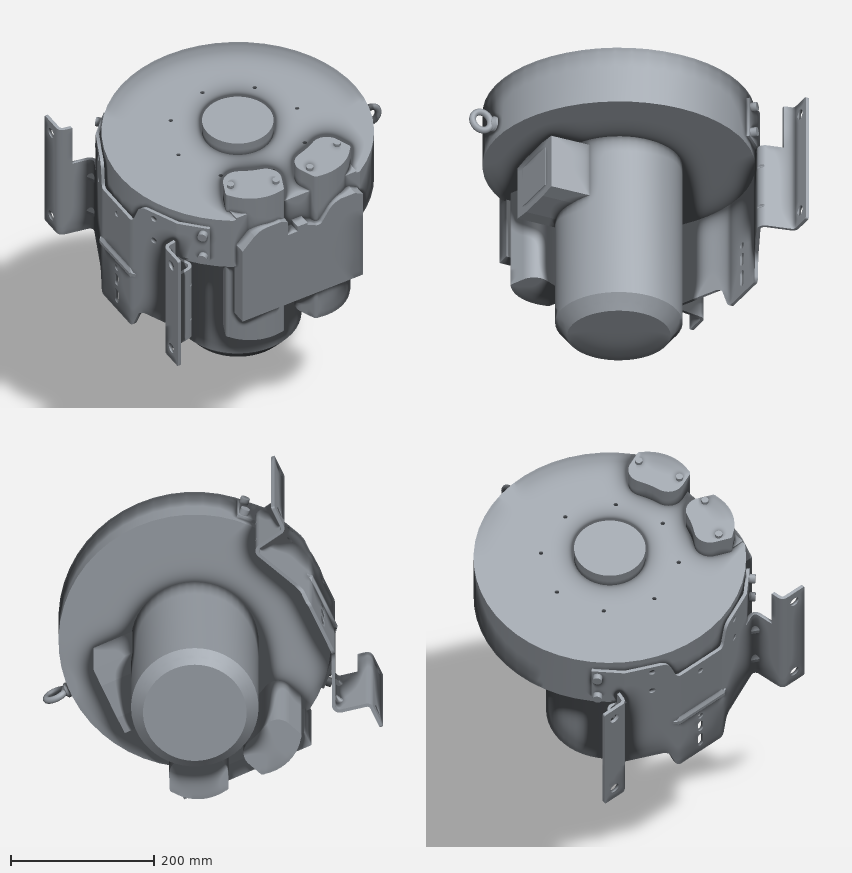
import cadquery as cq
import math


HOUSING_RADIUS = 190.0
HOUSING_HEIGHT = 85.5
FLAT_X = 160.0
HUB_RADIUS = 50.0
HUB_HEIGHT = 21.0
COVER_HOLE_COUNT = 8
COVER_HOLE_CIRCLE = 96.5
COVER_HOLE_DIAMETER = 6.0
COVER_HOLE_DEPTH = 6.5
MOTOR_RADIUS = 89.0
MOTOR_END_RADIUS = 72.2
MOTOR_CONE_Z = -332.8
MOTOR_BOTTOM_Z = -353.5

BOX_HALF_WIDTH = 52.5
BOX_BACK_Y = 131.5
BOX_TOP_Z = -91.0
BOX_BOTTOM_Z = -176.5
BOX_SLOPE_WIDTH = 26.3
BOX_SLOPE_HEIGHT = 2.5
LID_THICKNESS = 1.5
LID_WIDTH = 70.0
LID_HEIGHT = 59.5

SILENCER_ANGLE = 22.5
SILENCER_TOP_Z = 30.5
SILENCER_BOTTOM_Z = -230.7
SILENCER_HALF_WIDTH = 41.0
SILENCER_INNER_RADIUS = 119.5
SILENCER_OUTER_RADIUS = 179.0
LOBE_RADIUS = 22.5
LOBE_CENTER_X = 140.5
STRAIGHT_END_X = 162.5
CORNER_X = 167.5
CORNER_HALF_WIDTH = 36.8
CORNER_MID_X = 166.0
CORNER_MID_HALF_WIDTH = 40.0
PIN_CIRCLE = 152.5
PIN_SPREAD = 12.1
PIN_DIAMETER = 10.0
PIN_TOP_Z = 35.5

PORT_FACE_X = 177.0
PORT_HALF_SPAN = 97.5
PORT_MID_Z = -110.0
PORT_TOP = 90.5
PORT_WEB = 70.0
PORT_STEP = 61.5
PORT_DEPTH = 65.5
PORT_EMBED = 4.5
PAD_INNER_X = 141.0
PAD_INNER_Y = 44.0
PAD_RISE = 2.5

SHEET = 5.0
BRACKET_TOP_Z = -14.0
BRACKET_BOTTOM_Z = -207.0
TONGUE_DROP = 33.3
TONGUE_CORNER_X = 41.5
WING_CORNER_X = 53.0
TONGUE_CORNER_RADIUS = 8.8
WING_CORNER_RADIUS = 13.0
FOOT_CORNER_RADIUS = 2.5
FRONT_BEND = (40.0, -196.5)
TAB_BEND_X = 111.0
TAB_END = (144.0, -132.0)
LEG_BEND = (132.2, -155.0)
FOOT_BEND = (142.0, -205.5)
FOOT_END = (181.5, -205.5)
WING_SLOPE = (LEG_BEND[1] - FRONT_BEND[1]) / (LEG_BEND[0] - FRONT_BEND[0])
FRONT_BEND_RADIUS = 22.0
LEG_BEND_RADIUS = 6.0
FOOT_BEND_RADIUS = 9.5
TAB_BEND_RADIUS = 13.0
TAB_BOTTOM_Z = -74.5
RELIEF_BOTTOM_Z = -79.5
RELIEF_X = 108.0
TAB_FLAP = 13.0
TAB_LAP = 4.5
RELIEF_Y = -186.0

DRILL_START_Y = -190.5
FOOT_HOLE_X = 163.8
FOOT_HOLE_DIAMETER = 15.0
FOOT_HOLE_Z = (-33.5, -186.0)
SCREW_Z = (-25.0, -65.0)
SCREW_HOLE_DIAMETER = 9.5
WING_HOLE_X = 75.0
TONGUE_HOLE_Z = (-65.0, -164.0)
TONGUE_SLOTS = ((-186.0, 20.0), (-216.0, 24.5))

RIB_Z = -144.5
RIB_RISE = 3.5
RIB_FOOT_HALF_HEIGHT = 8.5
RIB_CREST_HALF_HEIGHT = 2.5
RIB_FOOT_HALF_LENGTH = 37.5
RIB_SHOULDER_X = 43.5
RIB_CREST_HALF_LENGTH = 40.7
RIB_TIP_X = 51.0
GUSSET_Z = (-112.0, -175.0)
GUSSET_START = 1.5
GUSSET_FOOT_HALF_HEIGHT = 10.0
GUSSET_CREST_HALF_HEIGHT = 2.5
GUSSET_LENGTH = 12.3
GUSSET_DEPTH = 7.5
GROOVE_START = -5.3
GROOVE_HALF_HEIGHT = 7.0
GROOVE_FLOOR_HALF_HEIGHT = 1.0
GROOVE_DEPTH = 6.0
GROOVE_LENGTH = 44.0

BOLT_ANGLES = (225, 315)
BOLT_DIAMETER = 13.0
BOLT_HEAD_RADIUS = 203.5
BOLT_INNER_RADIUS = 184.0

EYE_Y = 213.5
EYE_Z = -65.0
EYE_RING_RADIUS = 14.0
EYE_WIRE_RADIUS = 5.0
COLLAR_DIAMETER = 21.5
COLLAR_Y = 193.0
COLLAR_THICKNESS = 3.5
CONE_TOP_RADIUS = 5.5
CONE_TOP_Y = 201.5
NECK_RADIUS = 4.5
NECK_EMBED = 4.5

LONG = 875.5
PICK = 0.5


def prism_z(outline, z_low, z_high):
    """Closed XY polygon extruded between two heights."""
    plane = cq.Workplane("XY", origin=(0, 0, z_low))
    return plane.polyline(outline).close().extrude(z_high - z_low)


def box_between(low, high):
    size = [b - a for a, b in zip(low, high)]
    return cq.Workplane("XY").box(*size, centered=False).translate(low)


def rod_z(radius, z_low, z_high):
    return cq.Workplane("XY", origin=(0, 0, z_low)).circle(radius).extrude(z_high - z_low)


def with_mirror(body):
    """Body together with its mirror image across the YZ plane."""
    return body.union(body.mirror("YZ"))


def make_housing():
    housing = rod_z(HOUSING_RADIUS, -HOUSING_HEIGHT, 0)
    housing = housing.cut(box_between((FLAT_X, -LONG, -LONG), (LONG, LONG, LONG)))
    housing = housing.union(rod_z(HUB_RADIUS, -HOUSING_HEIGHT, HUB_HEIGHT))
    holes = (
        cq.Workplane("XY")
        .polarArray(COVER_HOLE_CIRCLE, 0, 360, COVER_HOLE_COUNT)
        .circle(COVER_HOLE_DIAMETER / 2)
        .extrude(-COVER_HOLE_DEPTH)
    )
    return housing.cut(holes)


def make_motor():
    profile = [
        (0, -HOUSING_HEIGHT / 2),
        (MOTOR_RADIUS, -HOUSING_HEIGHT / 2),
        (MOTOR_RADIUS, MOTOR_CONE_Z),
        (MOTOR_END_RADIUS, MOTOR_BOTTOM_Z),
        (0, MOTOR_BOTTOM_Z),
    ]
    return cq.Workplane("XZ").polyline(profile).close().revolve(360, (0, 0), (0, 1))


def make_terminal_box():
    shoulder = BOX_HALF_WIDTH - BOX_SLOPE_WIDTH
    outline = [
        (-BOX_HALF_WIDTH, BOX_BOTTOM_Z + BOX_SLOPE_HEIGHT),
        (-shoulder, BOX_BOTTOM_Z),
        (shoulder, BOX_BOTTOM_Z),
        (BOX_HALF_WIDTH, BOX_BOTTOM_Z + BOX_SLOPE_HEIGHT),
        (BOX_HALF_WIDTH, BOX_TOP_Z - BOX_SLOPE_HEIGHT),
        (shoulder, BOX_TOP_Z),
        (-shoulder, BOX_TOP_Z),
        (-BOX_HALF_WIDTH, BOX_TOP_Z - BOX_SLOPE_HEIGHT),
    ]
    box = cq.Workplane("XZ").polyline(outline).close().extrude(-BOX_BACK_Y)
    mid_z = (BOX_TOP_Z + BOX_BOTTOM_Z) / 2
    lid = (
        cq.Workplane("XZ", origin=(0, BOX_BACK_Y, mid_z))
        .rect(LID_WIDTH, LID_HEIGHT)
        .extrude(-LID_THICKNESS)
    )
    return box.union(lid)


def make_silencer(angle):
    """Kidney-shaped column, drawn along +X and turned into place."""
    lobe_y = SILENCER_HALF_WIDTH - LOBE_RADIUS
    lobe_angle = math.atan2(lobe_y, LOBE_CENTER_X)
    touch_x = SILENCER_INNER_RADIUS * math.cos(lobe_angle)
    touch_y = SILENCER_INNER_RADIUS * math.sin(lobe_angle)
    middle = (lobe_angle + math.pi + math.pi / 2) / 2
    lobe_mid_x = LOBE_CENTER_X + LOBE_RADIUS * math.cos(middle)
    lobe_mid_y = lobe_y + LOBE_RADIUS * math.sin(middle)
    half_width = SILENCER_HALF_WIDTH
    column = (
        cq.Workplane("XY", origin=(0, 0, SILENCER_BOTTOM_Z))
        .moveTo(touch_x, -touch_y)
        .threePointArc((SILENCER_INNER_RADIUS, 0), (touch_x, touch_y))
        .threePointArc((lobe_mid_x, lobe_mid_y), (LOBE_CENTER_X, half_width))
        .lineTo(STRAIGHT_END_X, half_width)
        .threePointArc((CORNER_MID_X, CORNER_MID_HALF_WIDTH), (CORNER_X, CORNER_HALF_WIDTH))
        .threePointArc((SILENCER_OUTER_RADIUS, 0), (CORNER_X, -CORNER_HALF_WIDTH))
        .threePointArc((CORNER_MID_X, -CORNER_MID_HALF_WIDTH), (STRAIGHT_END_X, -half_width))
        .lineTo(LOBE_CENTER_X, -half_width)
        .threePointArc((lobe_mid_x, -lobe_mid_y), (touch_x, -touch_y))
        .close()
        .extrude(SILENCER_TOP_Z - SILENCER_BOTTOM_Z)
    )
    for side in (-1, 1):
        pin = rod_z(PIN_DIAMETER / 2, 0, PIN_TOP_Z).translate((PIN_CIRCLE, 0, 0))
        column = column.union(pin.rotate((0, 0, 0), (0, 0, 1), side * PIN_SPREAD))
    return column.rotate((0, 0, 0), (0, 0, 1), angle)


def make_ports():
    """Two port flanges with a web between them, flat underneath, and pads beside the silencers."""
    start_x = FLAT_X - PORT_EMBED
    ports = (
        cq.Workplane("YZ", origin=(start_x, 0, PORT_MID_Z))
        .moveTo(-PORT_HALF_SPAN, -PORT_DEPTH)
        .lineTo(-PORT_HALF_SPAN, 63.5)
        .lineTo(-78.0, 83.0)
        .threePointArc((-68.0, 89.0), (-54.5, PORT_TOP))
        .lineTo(-35.0, PORT_TOP)
        .lineTo(-24.0, 85.5)
        .lineTo(-24.0, PORT_STEP)
        .lineTo(-8.5, PORT_STEP)
        .lineTo(-8.5, PORT_WEB)
        .lineTo(8.0, PORT_WEB)
        .lineTo(8.0, PORT_STEP + 4.5)
        .lineTo(22.0, 59.0)
        .threePointArc((27.5, 58.5), (32.0, 62.0))
        .lineTo(41.5, 76.5)
        .threePointArc((50.5, 86.0), (62.5, PORT_TOP))
        .lineTo(85.0, PORT_TOP)
        .lineTo(PORT_HALF_SPAN, 83.0)
        .lineTo(PORT_HALF_SPAN, -PORT_DEPTH)
        .close()
        .extrude(PORT_FACE_X - start_x)
    )
    for y_low, y_high in ((PAD_INNER_Y, PORT_HALF_SPAN), (-PORT_HALF_SPAN, -PAD_INNER_Y)):
        pad = box_between((PAD_INNER_X, y_low, -HOUSING_HEIGHT), (FLAT_X, y_high, PAD_RISE))
        ports = ports.union(pad)
    return ports


def offset_path(path, distance):
    """Open polyline moved sideways to its left, with mitred corners."""
    headings = [math.atan2(b[1] - a[1], b[0] - a[0]) for a, b in zip(path, path[1:])]
    moved = []
    for index, (x, y) in enumerate(path):
        before = headings[max(index - 1, 0)]
        after = headings[min(index, len(headings) - 1)]
        middle = (before + after) / 2
        reach = distance / math.cos((after - before) / 2)
        moved.append((x - reach * math.sin(middle), y + reach * math.cos(middle)))
    return moved


def round_bend(body, point, radius):
    """Round the upright edge that passes through an XY point."""
    x, y = point
    selector = cq.selectors.BoxSelector((x - PICK, y - PICK, -LONG), (x + PICK, y + PICK, LONG))
    return body.edges("|Z").edges(selector).fillet(radius)


def wing_y(x):
    """Height along Y of the wing's outer face."""
    return FRONT_BEND[1] + WING_SLOPE * (x - FRONT_BEND[0])


def make_bent_sheet():
    """Right half of the bracket sheet: tongue, wing, leg and foot, full height."""
    outside = [(0, FRONT_BEND[1]), FRONT_BEND, LEG_BEND, FOOT_BEND, FOOT_END]
    inside = offset_path(outside, SHEET)
    tongue_bottom_z = BRACKET_BOTTOM_Z - TONGUE_DROP
    sheet = prism_z(outside + inside[::-1], tongue_bottom_z, BRACKET_TOP_Z)
    outside_radii = (FRONT_BEND_RADIUS, LEG_BEND_RADIUS, FOOT_BEND_RADIUS)
    inside_radii = (
        FRONT_BEND_RADIUS - SHEET,
        LEG_BEND_RADIUS + SHEET,
        FOOT_BEND_RADIUS - SHEET,
    )
    for points, radii in ((outside, outside_radii), (inside, inside_radii)):
        for point, radius in zip(points[1:-1], radii):
            sheet = round_bend(sheet, point, radius)
    return sheet


def trim_to_outline(sheet):
    """Give the sheet its front outline, with the tongue dropped below the wings."""
    outline = [
        (0, BRACKET_TOP_Z - TONGUE_DROP),
        (TONGUE_CORNER_X, BRACKET_TOP_Z - TONGUE_DROP),
        (WING_CORNER_X, BRACKET_TOP_Z),
        (FOOT_END[0], BRACKET_TOP_Z),
        (FOOT_END[0], BRACKET_BOTTOM_Z),
        (WING_CORNER_X, BRACKET_BOTTOM_Z),
        (TONGUE_CORNER_X, BRACKET_BOTTOM_Z - TONGUE_DROP),
        (0, BRACKET_BOTTOM_Z - TONGUE_DROP),
    ]
    blank = cq.Workplane("XZ").polyline(outline).close().extrude(LONG)
    corners = (
        (TONGUE_CORNER_X, TONGUE_CORNER_RADIUS),
        (WING_CORNER_X, WING_CORNER_RADIUS),
        (FOOT_END[0], FOOT_CORNER_RADIUS),
    )
    for x, radius in corners:
        strip = cq.selectors.BoxSelector((x - PICK, -LONG, -LONG), (x + PICK, LONG, LONG))
        blank = blank.edges("|Y").edges(strip).fillet(radius)
    return sheet.intersect(blank)


def make_tab():
    """Upper flap that leaves the wing and lies against the housing rim."""
    outside = [FRONT_BEND, (TAB_BEND_X, wing_y(TAB_BEND_X)), TAB_END]
    inside = offset_path(outside, SHEET)
    flap = prism_z(outside + inside[::-1], TAB_BOTTOM_Z, BRACKET_TOP_Z)
    flap = round_bend(flap, outside[1], TAB_BEND_RADIUS)
    flap = round_bend(flap, inside[1], TAB_BEND_RADIUS - SHEET)
    return flap.cut(box_between((-LONG, -LONG, -LONG), (RELIEF_X - TAB_FLAP, LONG, LONG)))


def make_gusset_prism(z, start, depth, foot_half_height, crest_half_height, length):
    """Trapezoid ridge across the leg bend, growing toward the inside of the bend.

    It starts at a signed distance from the sharp bend corner.
    """
    wing_heading = math.atan2(LEG_BEND[1] - FRONT_BEND[1], LEG_BEND[0] - FRONT_BEND[0])
    leg_heading = math.atan2(FOOT_BEND[1] - LEG_BEND[1], FOOT_BEND[0] - LEG_BEND[0])
    along = (wing_heading + leg_heading) / 2
    along_vector = cq.Vector(math.cos(along), math.sin(along), 0)
    inward = cq.Vector(math.sin(along), -math.cos(along), 0)
    origin = cq.Vector(LEG_BEND[0], LEG_BEND[1], z) + inward * start
    plane = cq.Plane(origin=origin, xDir=inward, normal=along_vector)
    section = [
        (0, -foot_half_height),
        (depth, -crest_half_height),
        (depth, crest_half_height),
        (0, foot_half_height),
    ]
    return cq.Workplane(plane).polyline(section).close().extrude(length / 2, both=True)


def add_gussets(sheet):
    """Ridges pressed into the leg bend, each with a groove on its outer side."""
    ridge_size = (GUSSET_DEPTH, GUSSET_FOOT_HALF_HEIGHT, GUSSET_CREST_HALF_HEIGHT, GUSSET_LENGTH)
    groove_size = (GROOVE_DEPTH, GROOVE_HALF_HEIGHT, GROOVE_FLOOR_HALF_HEIGHT, GROOVE_LENGTH)
    for z in GUSSET_Z:
        ridge = make_gusset_prism(z, GUSSET_START, *ridge_size)
        groove = make_gusset_prism(z, GROOVE_START, *groove_size)
        sheet = sheet.union(ridge).cut(groove)
    return sheet


def make_rib():
    """Stiffening rib across the tongue, tapering out onto the wings."""
    face_y = FRONT_BEND[1]
    back_y = face_y + SHEET / 2
    crest_y = face_y - RIB_RISE
    foot = RIB_FOOT_HALF_HEIGHT
    crest = RIB_CREST_HALF_HEIGHT

    half_plan = [
        (RIB_CREST_HALF_LENGTH, crest_y),
        (RIB_TIP_X, wing_y(RIB_TIP_X)),
        (FRONT_BEND[0], back_y),
    ]
    plan = prism_z(half_plan + [(-x, y) for x, y in half_plan[::-1]], RIB_Z - foot, RIB_Z + foot)

    section = [
        (back_y, -foot),
        (face_y, -foot),
        (crest_y, -crest),
        (crest_y, crest),
        (face_y, foot),
        (back_y, foot),
    ]
    bar = cq.Workplane("YZ", origin=(0, 0, RIB_Z)).polyline(section).close()
    bar = bar.extrude(RIB_TIP_X, both=True)

    half_front = [
        (RIB_FOOT_HALF_LENGTH, foot),
        (RIB_SHOULDER_X, crest),
        (RIB_TIP_X, crest),
        (RIB_TIP_X, -crest),
        (RIB_SHOULDER_X, -crest),
        (RIB_FOOT_HALF_LENGTH, -foot),
    ]
    front_outline = half_front + [(-x, z) for x, z in half_front[::-1]]
    front = cq.Workplane("XZ", origin=(0, 0, RIB_Z)).polyline(front_outline).close().extrude(LONG)
    return bar.intersect(plan).intersect(front)


def drill_bracket(bracket):
    front = cq.Workplane("XZ", origin=(0, DRILL_START_Y, 0))
    foot_points = [(side * FOOT_HOLE_X, z) for side in (-1, 1) for z in FOOT_HOLE_Z]
    cutters = front.pushPoints(foot_points).circle(FOOT_HOLE_DIAMETER / 2).extrude(LONG)
    tongue_points = [(0, z) for z in TONGUE_HOLE_Z]
    holes = front.pushPoints(tongue_points).circle(SCREW_HOLE_DIAMETER / 2).extrude(LONG)
    cutters = cutters.union(holes)
    for z, length in TONGUE_SLOTS:
        slot = front.center(0, z).slot2D(length, SCREW_HOLE_DIAMETER, 90).extrude(LONG)
        cutters = cutters.union(slot)
    hole_y = wing_y(WING_HOLE_X)
    square_to_wing = (-WING_SLOPE, 1, 0)
    for z in SCREW_Z:
        plane = cq.Plane(origin=(WING_HOLE_X, hole_y, z), xDir=(0, 0, 1), normal=square_to_wing)
        hole = cq.Workplane(plane).circle(SCREW_HOLE_DIAMETER / 2).extrude(2 * SHEET, both=True)
        cutters = cutters.union(with_mirror(hole))
    return bracket.cut(cutters)


def make_bracket():
    half = trim_to_outline(make_bent_sheet())
    relief_radius = (TAB_BOTTOM_Z - RELIEF_BOTTOM_Z) / 2
    relief_x = RELIEF_X + relief_radius
    half = half.cut(box_between((relief_x, RELIEF_Y, RELIEF_BOTTOM_Z), (LONG, LONG, LONG)))
    half = half.cut(box_between((RELIEF_X - TAB_LAP, RELIEF_Y, TAB_BOTTOM_Z), (LONG, LONG, LONG)))
    half = add_gussets(half).union(make_tab())
    relief_end = (
        cq.Workplane("XZ")
        .center(relief_x, RELIEF_BOTTOM_Z + relief_radius)
        .circle(relief_radius)
        .extrude(-RELIEF_Y)
    )
    half = half.cut(relief_end)
    return drill_bracket(with_mirror(half).union(make_rib()))


def make_bolts():
    """Bolts that hold the tabs to the housing rim."""
    bolts = cq.Workplane("XY")
    for angle in BOLT_ANGLES:
        for z in SCREW_Z:
            bolt = (
                cq.Workplane("YZ", origin=(BOLT_INNER_RADIUS, 0, z))
                .circle(BOLT_DIAMETER / 2)
                .extrude(BOLT_HEAD_RADIUS - BOLT_INNER_RADIUS)
                .rotate((0, 0, 0), (0, 0, 1), angle)
            )
            bolts = bolts.add(bolt)
    return bolts.combine()


def make_eyebolt():
    """Ring standing on a coned collar, with a neck that runs into the housing rim."""
    collar_radius = COLLAR_DIAMETER / 2
    profile = [
        (0, HOUSING_RADIUS - NECK_EMBED),
        (NECK_RADIUS, HOUSING_RADIUS - NECK_EMBED),
        (NECK_RADIUS, COLLAR_Y),
        (collar_radius, COLLAR_Y),
        (collar_radius, COLLAR_Y + COLLAR_THICKNESS),
        (CONE_TOP_RADIUS, CONE_TOP_Y),
        (0, CONE_TOP_Y),
    ]
    eyebolt = (
        cq.Workplane("XY", origin=(0, 0, EYE_Z))
        .polyline(profile)
        .close()
        .revolve(360, (0, 0), (0, 1))
    )
    for start in (0, 180):
        half_ring = (
            cq.Workplane("XY", origin=(0, EYE_Y, EYE_Z))
            .center(0, EYE_RING_RADIUS)
            .circle(EYE_WIRE_RADIUS)
            .revolve(180, (0, -EYE_RING_RADIUS), (1, -EYE_RING_RADIUS))
            .rotate((0, EYE_Y, EYE_Z), (1, EYE_Y, EYE_Z), start)
        )
        eyebolt = eyebolt.union(half_ring)
    return eyebolt


result = make_housing().union(make_motor()).union(make_terminal_box())
for silencer_angle in (-SILENCER_ANGLE, SILENCER_ANGLE):
    result = result.union(make_silencer(silencer_angle))
result = result.union(make_ports()).union(make_bracket()).union(make_bolts()).union(make_eyebolt())